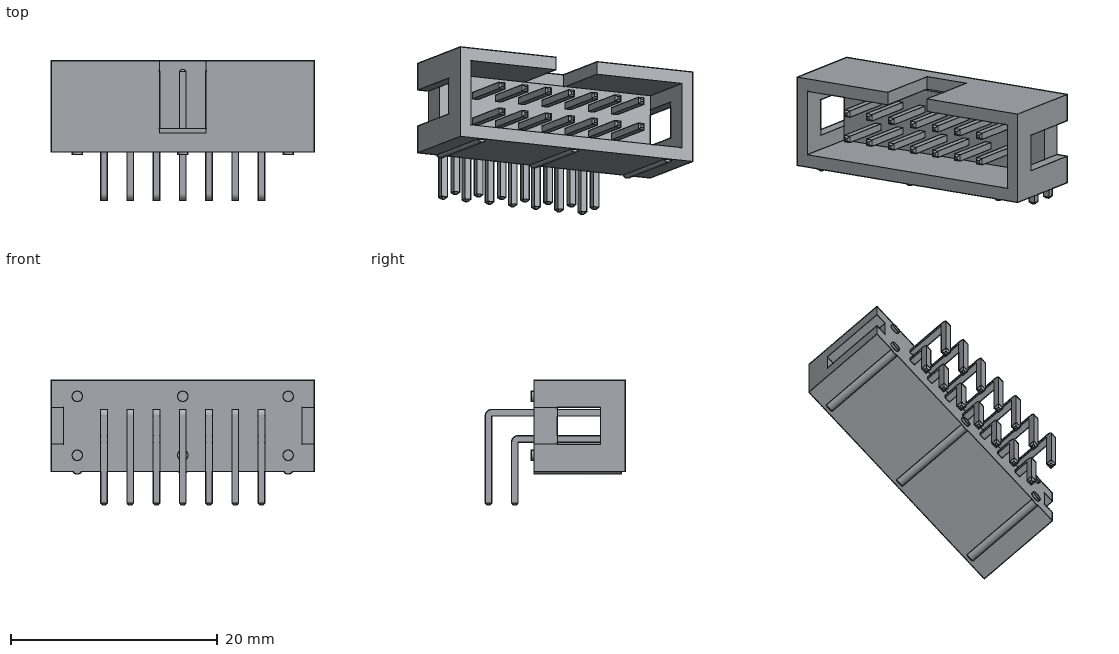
import cadquery as cq


LENGTH = 25.44
DEPTH = 8.85
HEIGHT = 8.85
WALL = 1.25
END_WALL = 1.18
CAVITY_DEPTH = 6.57
MID_HEIGHT = HEIGHT / 2

KEY_WIDTH = 4.5
KEY_DEPTH = 7.0

WINDOW_HEIGHT = 3.55
WINDOW_MARGIN = 2.4
WINDOW_TOP_GAP = 2.64

STANDOFF_DIAMETER = 1.0
STANDOFF_HEIGHT = 0.25
STANDOFF_SPACING_X = 10.2
PIP_SPACING_Z = 5.7
RIB_MARGIN = 0.37

PIN_SIZE = 0.64
BEND_RADIUS = 0.63
PITCH = 2.54
COLUMNS = 7
TIP_LENGTH = 0.2
TIP_INSET = 0.2
PIN_RECESS = 0.85
TAIL_REACH = 4.7
TAIL_DROP = 3.25

STANDOFF_XS = [i * STANDOFF_SPACING_X for i in (-1, 0, 1)]


def block(x_min, x_max, y_min, y_max, z_min, z_max):
    """Axis-aligned box given by its limits."""
    size = (x_max - x_min, y_max - y_min, z_max - z_min)
    return cq.Workplane("XY").box(*size, centered=False).translate((x_min, y_min, z_min))


def make_housing():
    """Box with the mating cavity, key slot and two latch windows."""
    half = LENGTH / 2
    cavity_floor = DEPTH - CAVITY_DEPTH
    housing = block(-half, half, 0, DEPTH, 0, HEIGHT)
    cavity = block(-half + END_WALL, half - END_WALL, cavity_floor, DEPTH, WALL, HEIGHT - WALL)
    key = block(-KEY_WIDTH / 2, KEY_WIDTH / 2, DEPTH - KEY_DEPTH, DEPTH, HEIGHT - WALL, HEIGHT)
    housing = housing.cut(cavity).cut(key)

    window_top = HEIGHT - WINDOW_TOP_GAP
    window_bottom = window_top - WINDOW_HEIGHT
    for x_min in (-half, half - END_WALL):
        window = block(x_min, x_min + END_WALL, 0, DEPTH - WINDOW_MARGIN, window_bottom, window_top)
        housing = housing.cut(window)
    return housing


def make_standoffs():
    """Round pips on the rear face and part-round ribs along the underside."""
    radius = STANDOFF_DIAMETER / 2
    pip_points = []
    for x in STANDOFF_XS:
        for side in (-1, 1):
            pip_points.append((x, MID_HEIGHT + side * PIP_SPACING_Z / 2))
    pips = cq.Workplane("XZ").pushPoints(pip_points).circle(radius).extrude(STANDOFF_HEIGHT)

    rib_points = [(x, radius - STANDOFF_HEIGHT) for x in STANDOFF_XS]
    rib_length = DEPTH - RIB_MARGIN
    ribs = cq.Workplane("XZ").pushPoints(rib_points).circle(radius).extrude(-rib_length)
    return pips.union(ribs)


def add_tip(pin, face):
    """Taper the end of a square pin on all four sides."""
    return pin.faces(face).chamfer(TIP_LENGTH, TIP_INSET)


def make_pin(pin_z, tail_reach):
    """Square pin bent once, with a round outer and a sharp inner corner."""
    half = PIN_SIZE / 2
    contact = block(-half, half, -tail_reach, DEPTH - PIN_RECESS, pin_z - half, pin_z + half)
    tail = block(-half, half, -tail_reach, PIN_SIZE - tail_reach, -TAIL_DROP, pin_z + half)
    pin = add_tip(contact, ">Y").union(add_tip(tail, "<Z"))
    bend_corner = cq.selectors.NearestToPointSelector((0, -tail_reach, pin_z + half))
    return pin.edges("|X").edges(bend_corner).fillet(BEND_RADIUS)


def make_pins():
    """Two rows of pins; the upper row reaches one pitch further back."""
    upper = make_pin(MID_HEIGHT + PITCH / 2, TAIL_REACH)
    lower = make_pin(MID_HEIGHT - PITCH / 2, TAIL_REACH - PITCH)
    pins = []
    for column in range(COLUMNS):
        x = (column - (COLUMNS - 1) / 2) * PITCH
        pins.append(upper.translate((x, 0, 0)))
        pins.append(lower.translate((x, 0, 0)))
    return pins


result = make_housing().union(make_standoffs())
for header_pin in make_pins():
    result = result.union(header_pin)